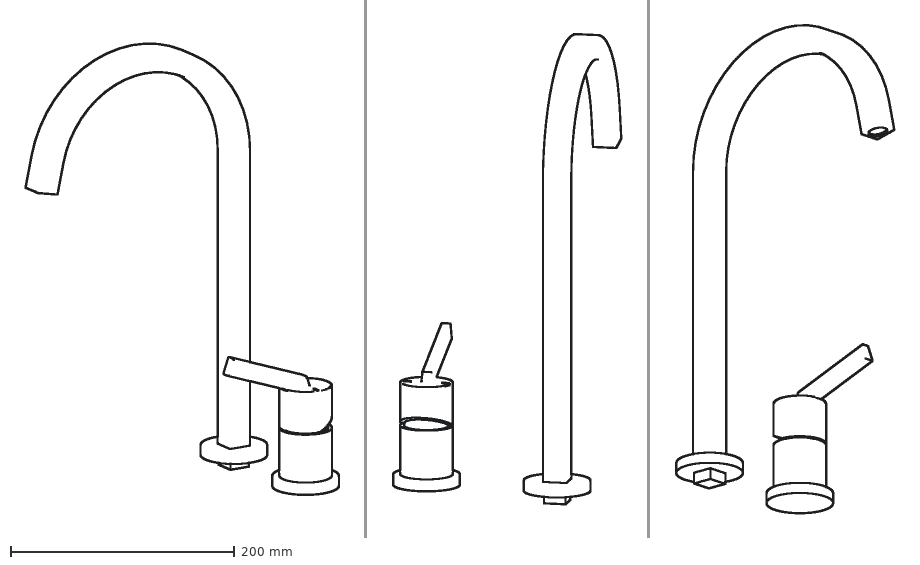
import cadquery as cq
import math

flange_diameter = 60.0
flange_height = 9.7
flange_edge_radius = 0.6
flange_spacing = 120.0
stub_width = 20.0
stub_height = 10.0
deck_height = stub_height
flange_top = deck_height + flange_height

total_height = 405
bar_width = 22.0
bar_edge_radius = 1.2
bend_radius = 100.0
nose_angle = 12.5
nose_length = 29.5
nose_edge_radius = 0.5
outlet_diameter = 17.0
outlet_depth = 2.0
bend_height = total_height - bar_width / 2 - bend_radius

barrel_diameter = 47.5
barrel_top = 64.5
ball_radius = 21.0
ball_depth = 5.3
cap_gap = 1.2
cap_top = 104.0
cap_edge_radius = 1.0
cap_relief_angle = 24
cap_bottom = barrel_top + cap_gap

lever_angle = 20
lever_width = 9.0
lever_thickness = 16.0
lever_reach = 85
lever_back = 2.0
lever_root_depth = 4
lever_edge_radius = 1.2
lever_foot_radius = 1.0

mark_inner_radius = 14.0
mark_length = 6.5
mark_width = 1.0
mark_depth = 0.5


def make_flange():
    """Round flange with a softened top edge."""
    return (
        cq.Workplane("XY", origin=(0, 0, deck_height))
        .circle(flange_diameter / 2)
        .extrude(flange_height)
        .faces(">Z").edges().fillet(flange_edge_radius)
    )


def make_spout():
    """Flange, square stub below it and the bent square bar above it, with a round outlet in its end."""
    angle = math.radians(nose_angle)
    bend_end = (
        -bend_radius - bend_radius * math.cos(angle),
        bend_height + bend_radius * math.sin(angle),
    )
    bend_crown = (-bend_radius, bend_height + bend_radius)
    nose_tip = (
        bend_end[0] - nose_length * math.sin(angle),
        bend_end[1] - nose_length * math.cos(angle),
    )
    path = (
        cq.Workplane("YZ")
        .moveTo(0, flange_top)
        .lineTo(0, bend_height)
        .threePointArc(bend_crown, bend_end)
        .lineTo(*nose_tip)
    )
    section = cq.Sketch().rect(bar_width, bar_width).vertices().fillet(bar_edge_radius)
    bar = cq.Workplane("XY", origin=(0, 0, flange_top)).placeSketch(section).sweep(path)
    nose_end = cq.Plane(
        origin=(0, *nose_tip),
        xDir=(1, 0, 0),
        normal=(0, math.sin(angle), math.cos(angle)),
    )
    nose_face = cq.selectors.NearestToPointSelector((0, *nose_tip))
    bar = bar.faces(nose_face).edges().fillet(nose_edge_radius)
    outlet = cq.Workplane(nose_end).circle(outlet_diameter / 2).extrude(outlet_depth)
    stub = cq.Workplane("XY").rect(stub_width, stub_width).extrude(stub_height)
    return make_flange().union(stub).union(bar).cut(outlet)


def make_cap():
    """Upper cylinder with its back underside cut away so that it can tilt."""
    radius = barrel_diameter / 2
    cap = (
        cq.Workplane("XY", origin=(0, 0, cap_bottom))
        .circle(radius)
        .extrude(cap_top - cap_bottom)
        .faces(">Z").edges().fillet(cap_edge_radius)
    )
    relief_reach = radius + cap_gap
    relief_rise = relief_reach * math.tan(math.radians(cap_relief_angle))
    relief = (
        cq.Workplane("YZ")
        .moveTo(0, cap_bottom)
        .lineTo(relief_reach, cap_bottom)
        .lineTo(relief_reach, cap_bottom + relief_rise)
        .close()
        .extrude(radius, both=True)
    )
    return cap.cut(relief)


def make_lever():
    """Lever from its root in the cap to its squared-off tip."""
    angle = math.radians(lever_angle)
    slope = math.tan(angle)
    cap_radius = barrel_diameter / 2
    root_z = cap_top - lever_root_depth

    def underside_z(y):
        return cap_top - (y + cap_radius) * slope

    def upperside_z(y):
        return underside_z(y) + lever_thickness / math.cos(angle)

    upper_back_y = lever_back - (upperside_z(0) - cap_top) * slope
    tip_low = (-lever_reach, underside_z(-lever_reach))
    tip_high = (
        tip_low[0] + lever_thickness * math.sin(angle),
        tip_low[1] + lever_thickness * math.cos(angle),
    )
    root_front_y = lever_root_depth / slope - cap_radius
    return (
        cq.Workplane("YZ")
        .moveTo(lever_back + lever_root_depth * slope, root_z)
        .lineTo(root_front_y, root_z)
        .lineTo(*tip_low)
        .lineTo(*tip_high)
        .lineTo(upper_back_y, upperside_z(upper_back_y))
        .close()
        .extrude(lever_width / 2, both=True)
        .faces("<X or >X").edges().fillet(lever_edge_radius)
    )


def make_lever_cap():
    """Cap and lever joined, with a small fillet around the foot of the lever."""
    lever_cap = make_cap().union(make_lever())
    cap_top_point = (0, barrel_diameter / 4, cap_top)
    return (
        lever_cap.faces(cq.selectors.NearestToPointSelector(cap_top_point))
        .edges("not %CIRCLE")
        .fillet(lever_foot_radius)
    )


def make_mixer():
    """Flange, barrel, ball, tilting cap and lever as one body."""
    barrel = (
        cq.Workplane("XY", origin=(0, 0, flange_top))
        .circle(barrel_diameter / 2)
        .extrude(barrel_top - flange_top)
    )
    ball = cq.Workplane("XY", origin=(0, 0, barrel_top - ball_depth)).sphere(ball_radius)
    mixer = make_flange().union(barrel).union(ball).union(make_lever_cap())
    for side in (-1, 1):
        mark_x = side * (mark_inner_radius + mark_length / 2)
        mark = (
            cq.Workplane("XY", origin=(mark_x, 0, cap_top - mark_depth))
            .rect(mark_length, mark_width)
            .extrude(mark_depth)
        )
        mixer = mixer.cut(mark)
    return mixer.translate((flange_spacing, 0, 0))


spout = make_spout()
mixer = make_mixer()
result = cq.Compound.makeCompound([spout.val(), mixer.val()])